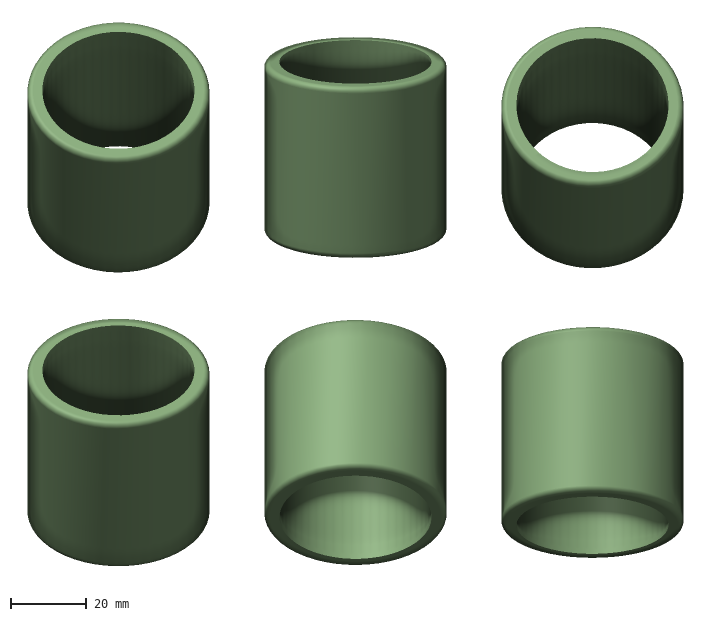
import cadquery as cq

outer_diameter = 48.0
bore_diameter = 40.0
length = 47.0
rim_radius = 1.5

body = cq.Workplane("XY").circle(outer_diameter / 2).extrude(length)
body = body.faces("<Z or >Z").edges().fillet(rim_radius)

result = body.faces(">Z").workplane().hole(bore_diameter)